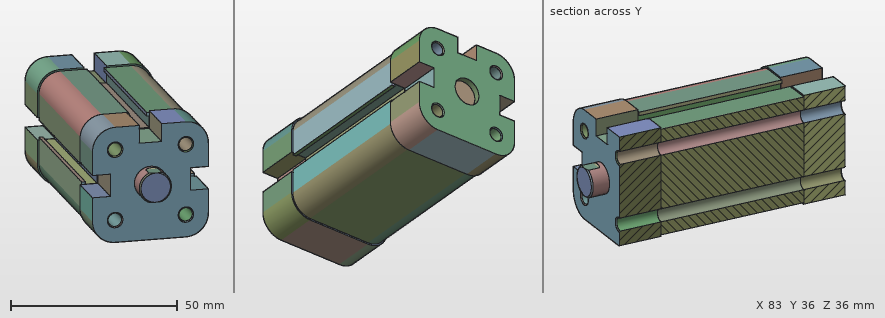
import cadquery as cq


total_length = 83.0
rod_projection = 6.0
cap_length = 14.2
body_length = total_length - rod_projection
front_cap_start = body_length - cap_length
barrel_length = front_cap_start - cap_length

cap_side = 36.0
cap_corner_radius = 7.05
barrel_inset = 0.5
barrel_side = cap_side - 2 * barrel_inset
barrel_corner_radius = cap_corner_radius - barrel_inset

cap_slot_width = 7.0
cap_slot_floor = 12.45
barrel_slot_width = 6.8
barrel_slot_floor = 12.8
slot_mouth_width = 5.3
slot_lip_height = 1.2
slot_side_angles = (-90, 0, 90)

bolt_spacing = 22.0
bolt_hole_diameter = 4.15
bolt_chamfer = 0.3

recess_diameter = 9.0
recess_depth = 2.0

rod_diameter = 10.0
rod_end_chamfer = 0.4
flat_setback = 1.5
flat_spacing = 9.1
flat_corner_radius = 0.5


def rounded_bar(start, length, side, corner_radius):
    """Square bar along X with its four long edges rounded."""
    bar = cq.Workplane("YZ", origin=(start, 0, 0)).rect(side, side).extrude(length)
    return bar.edges("|X").fillet(corner_radius)


def slot_channels(start, length, width, bottom, top):
    """Boxes along X between two distances from the axis, one on each slotted side."""
    box = cq.Workplane("XY").box(length, width, top - bottom, centered=(False, True, False))
    box = box.translate((start, 0, bottom))
    channels = cq.Workplane("XY")
    for angle in slot_side_angles:
        channels = channels.add(box.rotate((0, 0, 0), (1, 0, 0), angle))
    return channels.combine()


def bolt_holes(start, length):
    """Four parallel cylinders on the bolt pattern."""
    pattern = cq.Workplane("YZ", origin=(start, 0, 0))
    pattern = pattern.rect(bolt_spacing, bolt_spacing, forConstruction=True)
    return pattern.vertices().circle(bolt_hole_diameter / 2).extrude(length)


def cap_blank(start, outer_face):
    """End cap with slots and bolt holes; the holes are chamfered on the outer face."""
    end_section = rounded_bar(start, cap_length, cap_side, cap_corner_radius)
    drilled = end_section.cut(bolt_holes(start, cap_length))
    hole_rims = cq.selectors.RadiusNthSelector(0)
    chamfered = drilled.faces(outer_face).edges(hole_rims).chamfer(bolt_chamfer)
    return chamfered.cut(
        slot_channels(start, cap_length, cap_slot_width, cap_slot_floor, cap_side / 2)
    )


def make_rear_cap():
    recess = cq.Workplane("YZ").circle(recess_diameter / 2).extrude(recess_depth)
    return cap_blank(0, "<X").cut(recess)


def make_barrel():
    """Profile with lipped slots between the two caps."""
    barrel_top = barrel_side / 2
    lip_bottom = barrel_top - slot_lip_height
    barrel = rounded_bar(cap_length, barrel_length, barrel_side, barrel_corner_radius)
    barrel = barrel.cut(bolt_holes(cap_length, barrel_length))
    barrel = barrel.cut(
        slot_channels(cap_length, barrel_length, barrel_slot_width, barrel_slot_floor, lip_bottom)
    )
    return barrel.cut(slot_channels(cap_length, barrel_length, slot_mouth_width, lip_bottom, barrel_top))


def make_front_cap():
    """Cap with the bore that the rod passes through."""
    bore = cq.Workplane("YZ", origin=(front_cap_start, 0, 0)).circle(rod_diameter / 2).extrude(cap_length)
    return cap_blank(front_cap_start, ">X").cut(bore)


def make_rod():
    """Round rod from the barrel's end face, with flats on its free end."""
    rod = cq.Workplane("YZ", origin=(front_cap_start, 0, 0)).circle(rod_diameter / 2)
    rod = rod.extrude(total_length - front_cap_start)
    rod = rod.faces(">X").chamfer(rod_end_chamfer)
    flat_start = body_length + flat_setback
    upper_cutter = (
        cq.Workplane("XY")
        .box(rod_diameter, rod_diameter, rod_diameter, centered=(False, True, False))
        .edges("<X and <Z")
        .fillet(flat_corner_radius)
        .translate((flat_start, 0, flat_spacing / 2))
    )
    return rod.cut(upper_cutter).cut(upper_cutter.mirror("XY"))


rear_cap = make_rear_cap()
barrel = make_barrel()
front_cap = make_front_cap()
rod = make_rod()

result = cq.Compound.makeCompound([rear_cap.val(), barrel.val(), front_cap.val(), rod.val()])